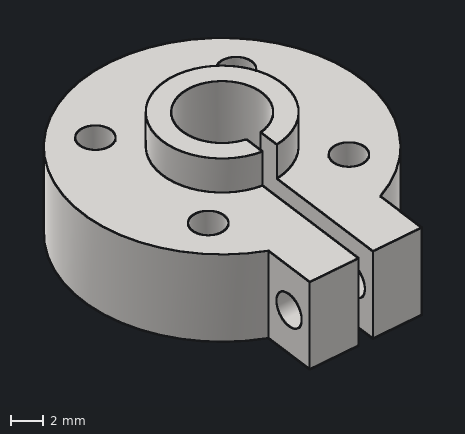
import cadquery as cq

overall_length = 25.4
disk_diameter = 22.22
disk_height = 6.85
collar_diameter = 9.52
overall_height = 9.52
bore_diameter = 6.35
lug_width = 8.95
slit_width = 1.15
screw_hole_diameter = 2.51
bolt_spacing = 11.23
clamp_hole_inset = 2.05

lug_end = overall_length - disk_diameter / 2


def make_body():
    """Disk with a clamp lug on +X and a raised collar."""
    disk = cq.Workplane("XY").circle(disk_diameter / 2).extrude(disk_height)
    lug = cq.Workplane("XY").box(lug_end, lug_width, disk_height, centered=(False, True, False))
    collar = cq.Workplane("XY").circle(collar_diameter / 2).extrude(overall_height)
    return disk.union(lug).union(collar)


def make_bore_and_slit():
    """Through bore opened by a slit running out of the lug end."""
    bore = cq.Workplane("XY").circle(bore_diameter / 2).extrude(overall_height)
    slit = cq.Workplane("XY").box(lug_end, slit_width, overall_height, centered=(False, True, False))
    return bore.union(slit)


def make_bolt_holes():
    """Four vertical through holes on a square."""
    return (
        cq.Workplane("XY")
        .rect(bolt_spacing, bolt_spacing, forConstruction=True)
        .vertices()
        .circle(screw_hole_diameter / 2)
        .extrude(disk_height)
    )


def make_clamp_hole():
    """Clamp screw hole across both halves of the lug, at mid-height."""
    return (
        cq.Workplane("XZ")
        .center(lug_end - clamp_hole_inset, disk_height / 2)
        .circle(screw_hole_diameter / 2)
        .extrude(lug_width / 2, both=True)
    )


result = make_body().cut(make_bore_and_slit()).cut(make_bolt_holes()).cut(make_clamp_hole())